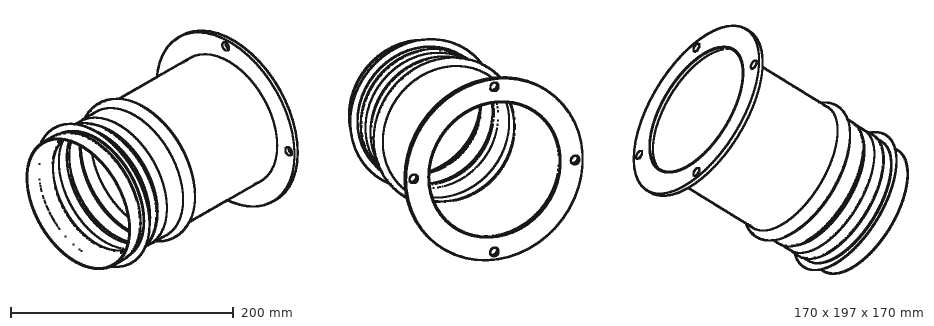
import cadquery as cq

length = 197.0

flange_diameter = 170.0
flange_thickness = 4.3
bolt_hole_diameter = 8.0
bolt_circle_radius = 77.6
bolt_count = 4

pipe_radius = 127.5 / 2
wall = 0.89
bead_center_y = 76.8
bead_arc_radius = 6.5
bead_outer_radius = 69.1
bead_root_fillet = 1.2

groove_lip_fillet = 1.5
groove_floor_fillet = 1.08
ring_groove_y = 44.3
ring_groove_width = 15.8
ring_groove_floor_radius = 122.0 / 2
fin_groove_y = 21.5
fin_groove_width = 13.0
fin_groove_floor_radius = 58.1

ring_seal_radius = 126.7 / 2
ring_seal_width = 10.2
ring_seal_fillet = 1.2

fin_ring_radius = 125.7 / 2
fin_ring_fillet = 1.0
fin_tip_radius = 139.7 / 2
fin_y = 19.1
fin_root_thickness = 1.2
fin_tip_thickness = 0.4

edge_match_tolerance = 0.02
groove_cutter_overshoot = 2.0


def cylinder(radius, y_start, y_end):
    """Solid cylinder on the Y axis between two Y positions."""
    return cq.Workplane("XZ", origin=(0, y_start, 0)).circle(radius).extrude(y_start - y_end)


def band(outer_radius, inner_radius, y_center, width):
    """Plain ring on the Y axis, centred on a Y position."""
    y_start = y_center - width / 2
    y_end = y_center + width / 2
    return cylinder(outer_radius, y_start, y_end).cut(cylinder(inner_radius, y_start, y_end))


def edges_at(body, radius, y_center, width):
    """Select the circular edges of a given radius at both sides of a band."""
    edges = []
    for edge in body.edges("%CIRCLE").vals():
        same_radius = abs(edge.radius() - radius) < edge_match_tolerance
        offset = abs(edge.Center().y - y_center)
        if same_radius and abs(offset - width / 2) < edge_match_tolerance:
            edges.append(edge)
    return body.newObject(edges)


def make_flange():
    """Flat disc bored for the pipe, with a ring of bolt holes."""
    flange = cylinder(flange_diameter / 2, length - flange_thickness, length)
    flange = flange.cut(cylinder(pipe_radius, length - flange_thickness, length))
    holes = (
        cq.Workplane("XZ", origin=(0, length, 0))
        .polarArray(bolt_circle_radius, 0, 360, bolt_count)
        .circle(bolt_hole_diameter / 2)
        .extrude(flange_thickness)
    )
    return flange.cut(holes)


def roll_groove(body, y_center, width, floor_radius):
    """Cut a rounded groove around the outside of the body."""
    body = body.cut(band(pipe_radius + groove_cutter_overshoot, floor_radius, y_center, width))
    body = edges_at(body, floor_radius, y_center, width).fillet(groove_floor_fillet)
    return edges_at(body, pipe_radius, y_center, width).fillet(groove_lip_fillet)


def roll_bead(body):
    """Add the rounded bead around the outside of the body."""
    arc_center_radius = bead_outer_radius - bead_arc_radius
    bead = (
        cq.Workplane("XY")
        .moveTo(arc_center_radius, bead_center_y - bead_arc_radius)
        .threePointArc((bead_outer_radius, bead_center_y), (arc_center_radius, bead_center_y + bead_arc_radius))
        .close()
        .revolve(360, (0, 0), (0, 1))
    )
    body = body.union(bead)
    root_width = 2 * (bead_arc_radius**2 - (pipe_radius - arc_center_radius) ** 2) ** 0.5
    return edges_at(body, pipe_radius, bead_center_y, root_width).fillet(bead_root_fillet)


def make_pipe():
    """Bead and groove a solid blank, then hollow it so the wall follows the rolled shape."""
    pipe = cylinder(pipe_radius, 0, length)
    pipe = roll_bead(pipe)
    pipe = roll_groove(pipe, ring_groove_y, ring_groove_width, ring_groove_floor_radius)
    pipe = roll_groove(pipe, fin_groove_y, fin_groove_width, fin_groove_floor_radius)
    return pipe.faces("<Y or >Y").shell(-wall)


def make_ring_seal():
    """Band with rounded outer corners."""
    ring = band(ring_seal_radius, ring_groove_floor_radius, ring_groove_y, ring_seal_width)
    return edges_at(ring, ring_seal_radius, ring_groove_y, ring_seal_width).fillet(ring_seal_fillet)


def make_fin_seal():
    """Ring with rounded corners and a lip that thins towards its tip."""
    ring = band(fin_ring_radius, fin_groove_floor_radius, fin_groove_y, fin_groove_width)
    ring = edges_at(ring, fin_groove_floor_radius, fin_groove_y, fin_groove_width).fillet(groove_floor_fillet)
    ring = edges_at(ring, fin_ring_radius, fin_groove_y, fin_groove_width).fillet(fin_ring_fillet)
    fin = (
        cq.Workplane("XY")
        .moveTo(fin_groove_floor_radius, fin_y - fin_root_thickness / 2)
        .lineTo(fin_tip_radius, fin_y - fin_tip_thickness / 2)
        .lineTo(fin_tip_radius, fin_y + fin_tip_thickness / 2)
        .lineTo(fin_groove_floor_radius, fin_y + fin_root_thickness / 2)
        .close()
        .revolve(360, (0, 0), (0, 1))
    )
    return ring.union(fin)


flange = make_flange().solids()
pipe = make_pipe().solids()
ring_seal = make_ring_seal().solids()
fin_seal = make_fin_seal().solids()

result = cq.Compound.makeCompound([flange.val(), pipe.val(), ring_seal.val(), fin_seal.val()])